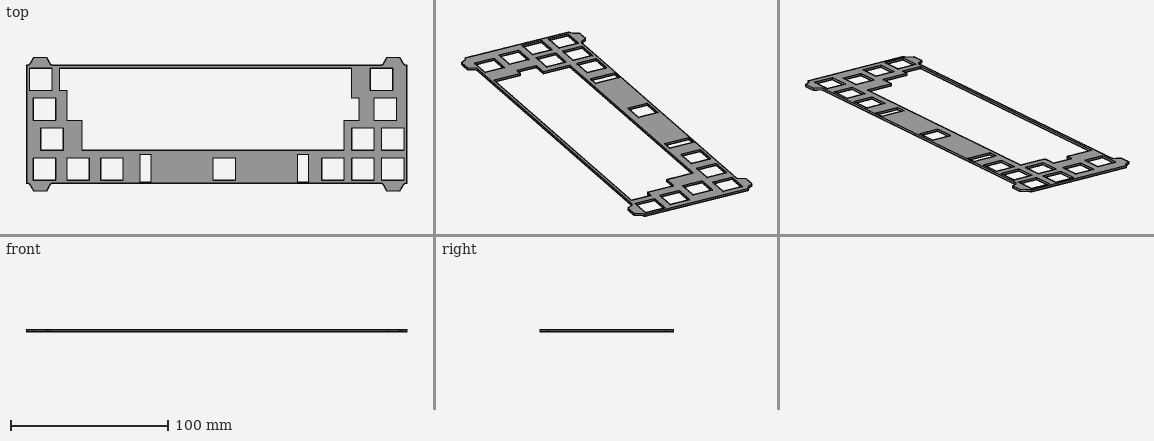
import cadquery as cq

LENGTH = 241.8
WIDTH = 75.2
THICKNESS = 1.5

OVERALL_WIDTH = 85.1
TAB_OUTER_ROOT = 1.7
TAB_OUTER_TIP = 4.5
TAB_INNER_TIP = 12.8
TAB_INNER_ROOT = 15.5
TAB_ROOT_FILLET = 2.0

ROW_COUNT = 4
LAYOUT_DEPTH = 76.2
KEY_PITCH = LAYOUT_DEPTH / ROW_COUNT
KEY_STEP = KEY_PITCH / 8
ROW_STEPS = 102
KEY_OPENING = 14.0

KEY_ROWS = [
    [4, 95],
    [5, 96],
    [7, 90, 98],
    [5, 14, 23, 53, 82, 90, 98],
]

OPEN_SPANS = [(12, 84), (14, 86), (18, 82)]

SPACE_BAR_KEY = 53
STABILIZER_REACH = 50.0
STABILIZER_LENGTH = 6.8
STABILIZER_WIDTH = 17.5
STABILIZER_OFFSET = 0.5


def key_x(steps):
    return (steps - ROW_STEPS / 2) * KEY_STEP


def row_y(row):
    return ((ROW_COUNT - 1) / 2 - row) * KEY_PITCH


def block(x_min, x_max, y_min, y_max):
    """Box through the full plate thickness."""
    corner = cq.Workplane("XY", origin=(x_min, y_min, 0))
    return corner.box(x_max - x_min, y_max - y_min, THICKNESS, centered=False)


def make_plate():
    """Rectangular plate with a tapered tab at both ends of each long edge."""
    edge_x = LENGTH / 2
    root_y = WIDTH / 2
    tip_y = OVERALL_WIDTH / 2
    right_tab = [
        (edge_x - TAB_INNER_ROOT, root_y),
        (edge_x - TAB_INNER_TIP, tip_y),
        (edge_x - TAB_OUTER_TIP, tip_y),
        (edge_x - TAB_OUTER_ROOT, root_y),
    ]
    left_tab = [(-x, y) for x, y in reversed(right_tab)]
    rear_edge = [(-edge_x, root_y)] + left_tab + right_tab + [(edge_x, root_y)]
    front_edge = [(x, -y) for x, y in reversed(rear_edge)]
    plate = cq.Workplane("XY").polyline(rear_edge + front_edge).close().extrude(THICKNESS)

    for side_x in (-1, 1):
        for side_y in (-1, 1):
            for inset in (TAB_OUTER_ROOT, TAB_INNER_ROOT):
                root = (side_x * (edge_x - inset), side_y * root_y, THICKNESS / 2)
                plate = plate.edges(cq.NearestToPointSelector(root)).fillet(TAB_ROOT_FILLET)
    return plate


def cut_key_openings(plate):
    centres = [(key_x(key), row_y(row)) for row, keys in enumerate(KEY_ROWS) for key in keys]
    openings = (
        cq.Workplane("XY").pushPoints(centres).rect(KEY_OPENING, KEY_OPENING).extrude(THICKNESS)
    )
    return plate.cut(openings)


def cut_large_opening(plate):
    """Three key rows merged into one stepped opening."""
    half = KEY_OPENING / 2
    for row, (first, last) in enumerate(OPEN_SPANS):
        plate = plate.cut(
            block(key_x(first) - half, key_x(last) + half, row_y(row) - half, row_y(row) + half)
        )

    for row in range(len(OPEN_SPANS) - 1):
        upper = OPEN_SPANS[row]
        lower = OPEN_SPANS[row + 1]
        x_min = key_x(max(upper[0], lower[0])) - half
        x_max = key_x(min(upper[1], lower[1])) + half
        plate = plate.cut(block(x_min, x_max, row_y(row + 1), row_y(row)))
    return plate


def cut_stabilizer_slots(plate):
    slot_y = row_y(ROW_COUNT - 1) + STABILIZER_OFFSET
    slots = (
        cq.Workplane("XY")
        .center(key_x(SPACE_BAR_KEY), slot_y)
        .pushPoints([(-STABILIZER_REACH, 0), (STABILIZER_REACH, 0)])
        .rect(STABILIZER_LENGTH, STABILIZER_WIDTH)
        .extrude(THICKNESS)
    )
    return plate.cut(slots)


result = make_plate()
result = cut_key_openings(result)
result = cut_large_opening(result)
result = cut_stabilizer_slots(result)